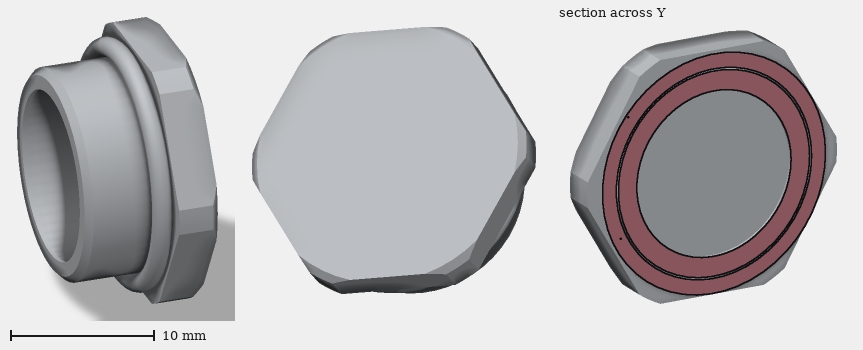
import cadquery as cq
import math

across_flats = 18.0
corner_diameter = 19.79
head_thickness = 3.0
edge_chamfer = 0.5

total_length = 9.0
plug_diameter = 15.2
bore_diameter = 12.2
bore_depth = total_length - head_thickness
plug_length = total_length - head_thickness

ring_section_diameter = 1.42
ring_overlap = 0.02


def cylinder_toward_front(diameter, length):
    """Cylinder on the Y axis, from the head's seating face at Y = 0 toward -Y."""
    return cq.Workplane("XZ").circle(diameter / 2).extrude(length)


def make_head():
    across_corners = across_flats / math.cos(math.pi / 6)
    hexagon = cq.Workplane("XZ").polygon(6, across_corners).extrude(-head_thickness)
    turned_blank = (
        cq.Workplane("XZ")
        .circle(corner_diameter / 2)
        .extrude(-head_thickness)
        .faces(">Y")
        .chamfer(edge_chamfer)
    )
    return hexagon.intersect(turned_blank)


def make_plug():
    return cylinder_toward_front(plug_diameter, plug_length).faces("<Y").chamfer(edge_chamfer)


def make_sealing_ring():
    section_radius = ring_section_diameter / 2
    center_radius = across_flats / 2 - section_radius
    center_y = ring_overlap - section_radius
    return (
        cq.Workplane("XY")
        .center(center_radius, center_y)
        .circle(section_radius)
        .revolve(360, (-center_radius, 0), (-center_radius, 1))
    )


def make_bore():
    bore_start = plug_length - bore_depth
    return cylinder_toward_front(bore_diameter, bore_depth).translate((0, -bore_start, 0))


result = make_head().union(make_plug()).union(make_sealing_ring()).cut(make_bore())